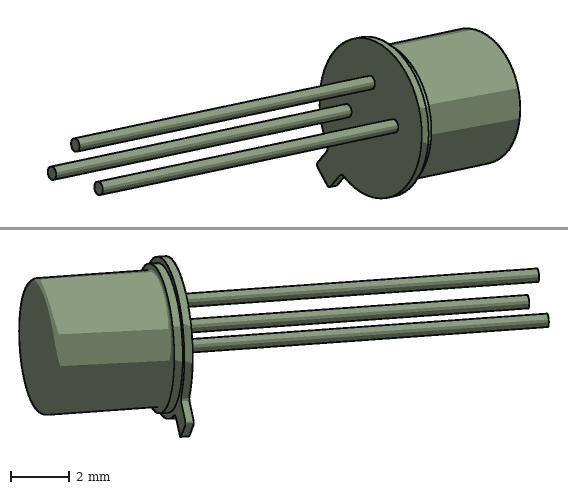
import cadquery as cq
import math


can_diameter = 4.71
can_top = 4.82
can_top_round = 0.25
can_base_round = 0.1

flange_diameter = 5.58
flange_thickness = 0.3
step_diameter = 5.15
step_thickness = 0.3

tab_width = 1.0
tab_reach = 3.71
tab_angle = 45
tab_tip_round = 0.12
tab_root_round = 0.2

lead_diameter = 0.47
lead_length = 13.0
lead_circle_radius = 1.27
lead_angles = (0, 90, 180)


def disc(diameter, start, thickness):
    """Solid cylinder along +Y that begins at height start."""
    plane = cq.Workplane("XZ", origin=(0, start, 0))
    return plane.circle(diameter / 2).extrude(-thickness)


def make_flange():
    """Round flange with its tab, rounded at the tip and at the root."""
    flange = disc(flange_diameter, 0, flange_thickness)
    tab = (
        cq.Workplane("XY")
        .box(tab_reach, flange_thickness, tab_width, centered=(False, False, True))
        .translate((-tab_reach, 0, 0))
        .edges("|Y and <X")
        .fillet(tab_tip_round)
    )
    root_distance = math.sqrt((flange_diameter / 2) ** 2 - (tab_width / 2) ** 2)
    flange = flange.union(tab)
    for side in (-1, 1):
        root_point = (-root_distance, flange_thickness / 2, side * tab_width / 2)
        flange = flange.edges(cq.selectors.NearestToPointSelector(root_point)).fillet(tab_root_round)
    return flange.rotate((0, 0, 0), (0, 1, 0), -tab_angle)


def make_can():
    """Step and can, with a rounded top edge and a small round at the can's foot."""
    step_top = flange_thickness + step_thickness
    step_radius = step_diameter / 2
    can_radius = can_diameter / 2
    profile = (
        cq.Workplane("XY")
        .moveTo(0, flange_thickness)
        .lineTo(step_radius, flange_thickness)
        .lineTo(step_radius, step_top)
        .lineTo(can_radius + can_base_round, step_top)
        .radiusArc((can_radius, step_top + can_base_round), can_base_round)
        .lineTo(can_radius, can_top - can_top_round)
        .radiusArc((can_radius - can_top_round, can_top), -can_top_round)
        .lineTo(0, can_top)
        .close()
    )
    return profile.revolve(360, (0, 0, 0), (0, 1, 0))


def make_lead(angle):
    """One straight round lead below the flange."""
    x = lead_circle_radius * math.cos(math.radians(angle))
    z = lead_circle_radius * math.sin(math.radians(angle))
    return disc(lead_diameter, -lead_length, lead_length).translate((x, 0, z))


result = make_flange().union(make_can())
for lead_angle in lead_angles:
    result = result.union(make_lead(lead_angle))